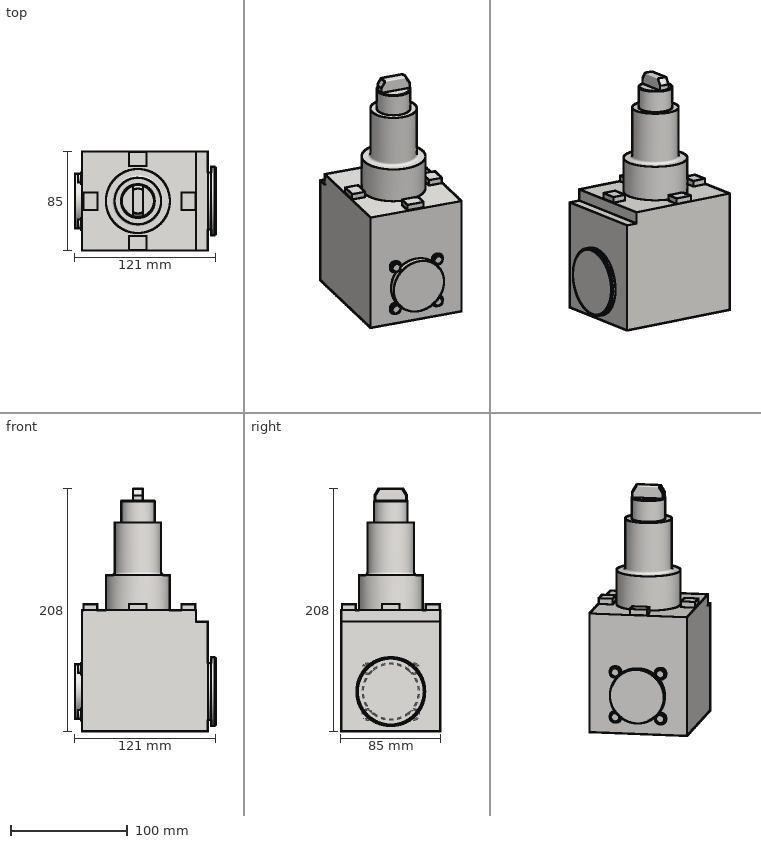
import cadquery as cq

body_left = -48.0
body_right = 60.0
body_depth = 85.0
body_height = 104.0
step_left = 50.0
step_depth = 10.0

collar_diameter = 55.0
collar_top = 134.0
shank_diameter = 40.0
shank_top = 179.0
nose_diameter = 29.0
nose_top = 197.8
nose_chamfer = 0.6
root_radius = 2.3

total_height = 208.0
tang_thickness = 8.7
tang_diameter = 27.9
tang_tip_diameter = 21.2
tang_bevel_height = 5.8
tang_edge_radius = 1.0

key_length = 12.0
key_width = 15.0
key_height = 5.0
left_key_end = -46.8
right_key_end = 49.3
side_key_end = 42.0

cover_axis_height = 34.1
disc_diameter = 47.0
disc_thickness = 6.0
flange_diameter = 59.0
flange_thickness = 4.0
flange_chamfer = 1.2
neck_diameter = 49.0
neck_length = 3.0

screw_spacing = 39.3
screw_diameter = 7.7
screw_height = 3.1
washer_diameter = 10.0
washer_thickness = 0.8


def block(x_start, x_end, y_center, width, z_start, height):
    """Box from X start to X end, centred on y_center."""
    length = x_end - x_start
    return (
        cq.Workplane("XY")
        .box(length, width, height, centered=(False, True, False))
        .translate((x_start, y_center, z_start))
    )


def x_cylinder(x_start, diameter, length, y=0, z=cover_axis_height):
    """Cylinder along X; a negative length extends toward -X."""
    return cq.Workplane("YZ", origin=(x_start, y, z)).circle(diameter / 2).extrude(length)


def z_cylinder(z_start, diameter, z_end):
    return cq.Workplane("XY", origin=(0, 0, z_start)).circle(diameter / 2).extrude(z_end - z_start)


def make_housing():
    housing = block(body_left, body_right, 0, body_depth, 0, body_height)
    step = block(step_left, body_right, 0, body_depth, body_height - step_depth, step_depth)
    return housing.cut(step)


def make_spindle():
    collar = z_cylinder(body_height, collar_diameter, collar_top)
    nose = z_cylinder(shank_top, nose_diameter, nose_top).faces(">Z").chamfer(nose_chamfer)
    shank_radius = shank_diameter / 2
    shank = (
        cq.Workplane("XZ")
        .moveTo(0, collar_top)
        .lineTo(shank_radius + root_radius, collar_top)
        .radiusArc((shank_radius, collar_top + root_radius), root_radius)
        .lineTo(shank_radius, shank_top)
        .lineTo(0, shank_top)
        .close()
        .revolve(360, (0, 0), (0, 1))
    )
    return collar.union(shank).union(nose)


def make_tang():
    """Flat slab cut from a cone-tipped cylinder, with its long top edges rounded."""
    tip_radius = tang_tip_diameter / 2
    outer_radius = tang_diameter / 2
    turned_tip = (
        cq.Workplane("XZ")
        .moveTo(0, nose_top)
        .lineTo(outer_radius, nose_top)
        .lineTo(outer_radius, total_height - tang_bevel_height)
        .lineTo(tip_radius, total_height)
        .lineTo(0, total_height)
        .close()
        .revolve(360, (0, 0), (0, 1))
    )
    slab = block(
        -tang_thickness / 2, tang_thickness / 2, 0, tang_diameter, nose_top, total_height - nose_top
    )
    rounded_slab = slab.faces(">Z").edges("|Y").fillet(tang_edge_radius)
    return turned_tip.intersect(rounded_slab)


def make_keys():
    keys = block(left_key_end, left_key_end + key_length, 0, key_width, body_height, key_height)
    keys = keys.union(
        block(right_key_end - key_length, right_key_end, 0, key_width, body_height, key_height)
    )
    for side in (-1, 1):
        y_center = side * (side_key_end - key_length / 2)
        keys = keys.union(
            block(-key_width / 2, key_width / 2, y_center, key_length, body_height, key_height)
        )
    return keys


def make_left_cover():
    cover = x_cylinder(body_left, disc_diameter, -disc_thickness)
    for y_side in (-1, 1):
        for z_side in (-1, 1):
            y = y_side * screw_spacing / 2
            z = cover_axis_height + z_side * screw_spacing / 2
            cover = cover.union(x_cylinder(body_left, washer_diameter, -washer_thickness, y, z))
            cover = cover.union(x_cylinder(body_left, screw_diameter, -screw_height, y, z))
    return cover


def make_right_flange():
    neck = x_cylinder(body_right, neck_diameter, neck_length)
    flange = x_cylinder(body_right + neck_length, flange_diameter, flange_thickness)
    return neck.union(flange.faces(">X").chamfer(flange_chamfer))


result = (
    make_housing()
    .union(make_spindle())
    .union(make_tang())
    .union(make_keys())
    .union(make_left_cover())
    .union(make_right_flange())
)